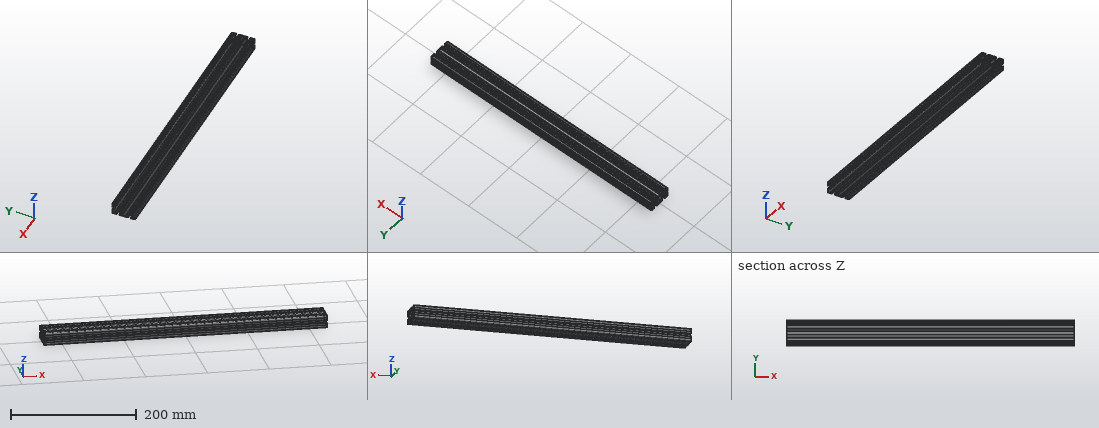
import cadquery as cq
import math

length = 457.0
module = 20.0
half_module = module / 2
width = 2 * module

lip_thickness = 1.55
mouth_half_width = 2.6
mouth_radius = 0.6
undercut_half_width = 6.0

core_half_size = 3.55
core_hole_radius = 2.4
web_thickness = 1.6

corner_radius = 1.6
cavity_roof_half_width = 2.6

web_offset = web_thickness / math.sqrt(2)
lip_underside = half_module - lip_thickness

module_turns = (0, 180)
slot_angles = (0, 180, -90)


def profile_plane():
    """Section plane at the -X end, with local x along +Y and local y along +Z."""
    return cq.Workplane("YZ", origin=(-length / 2, 0, 0))


def make_body():
    body = cq.Workplane("XY").box(length, width, module)
    return body.edges("|X").fillet(corner_radius)


def make_slot():
    """Cutter for a slot opening upwards, above a core centred on the X axis."""
    arc_inset = mouth_radius * (1 - math.cos(math.pi / 4))
    arc_y = mouth_half_width + arc_inset
    arc_z = half_module - arc_inset
    floor_half_width = core_half_size - web_offset
    web_top = undercut_half_width + web_offset
    return (
        profile_plane()
        .moveTo(mouth_half_width + mouth_radius, half_module)
        .threePointArc((arc_y, arc_z), (mouth_half_width, half_module - mouth_radius))
        .lineTo(mouth_half_width, lip_underside)
        .lineTo(undercut_half_width, lip_underside)
        .lineTo(undercut_half_width, web_top)
        .lineTo(floor_half_width, core_half_size)
        .lineTo(-floor_half_width, core_half_size)
        .lineTo(-undercut_half_width, web_top)
        .lineTo(-undercut_half_width, lip_underside)
        .lineTo(-mouth_half_width, lip_underside)
        .lineTo(-mouth_half_width, half_module - mouth_radius)
        .threePointArc((-arc_y, arc_z), (-mouth_half_width - mouth_radius, half_module))
        .close()
        .extrude(length)
    )


def make_core_hole():
    return profile_plane().circle(core_hole_radius).extrude(length)


def make_cavity():
    """Cutter for the central hollow, bounded by both cores, their webs and the outer walls."""
    roof_edge = (cavity_roof_half_width, lip_underside)
    web_end = (cavity_roof_half_width, half_module - cavity_roof_half_width - web_offset)
    core_corner = (half_module - core_half_size, core_half_size - web_offset)
    right_upper = [roof_edge, web_end, core_corner]
    right_lower = [(y, -z) for y, z in reversed(right_upper)]
    right_side = right_upper + right_lower
    left_side = [(-y, z) for y, z in reversed(right_side)]
    return profile_plane().polyline(right_side + left_side).close().extrude(length)


def cut_module(body, turn):
    """Cut the slots and hole of the +Y module, or of the -Y module when turned 180 degrees about X."""
    for slot_angle in slot_angles:
        slot = make_slot().rotate((0, 0, 0), (1, 0, 0), slot_angle)
        slot = slot.translate((0, half_module, 0))
        body = body.cut(slot.rotate((0, 0, 0), (1, 0, 0), turn))
    hole = make_core_hole().translate((0, half_module, 0))
    return body.cut(hole.rotate((0, 0, 0), (1, 0, 0), turn))


result = make_body().cut(make_cavity())
for module_turn in module_turns:
    result = cut_module(result, module_turn)